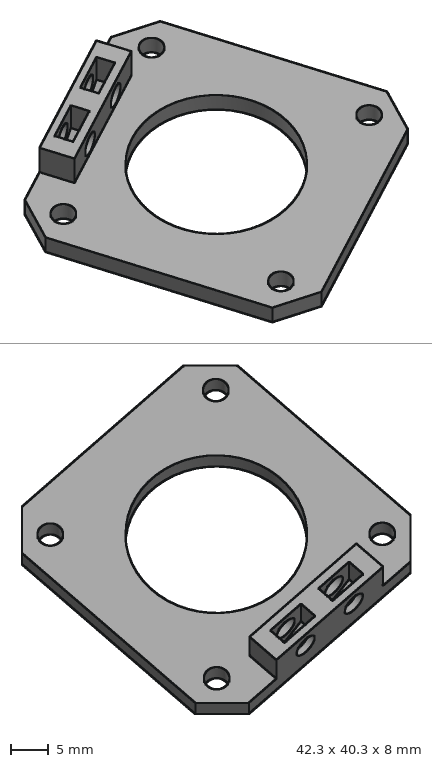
import cadquery as cq
import math

plate_length = 42.3
plate_width = 40.3
plate_thickness = 3.0
corner_chamfer = 5.0
bore_diameter = 24.0
screw_diameter = 3.4
mount_spacing = 31.0

block_depth = 5.0
block_width = 20.0
total_height = 8.0
clamp_spacing = 9.0
clamp_height = 5.0

nut_flats = 5.7
nut_thickness = 2.62
pocket_wall = 1.1

left_face = -plate_length / 2
clamp_positions = (-clamp_spacing / 2, clamp_spacing / 2)


def make_plate():
    """Chamfered plate with a central bore and four mounting holes."""
    plate = (
        cq.Workplane("XY")
        .box(plate_length, plate_width, plate_thickness, centered=(True, True, False))
        .edges("|Z")
        .chamfer(corner_chamfer)
    )
    plate = plate.faces(">Z").workplane().hole(bore_diameter)
    return (
        plate.faces(">Z")
        .workplane()
        .rect(mount_spacing, mount_spacing, forConstruction=True)
        .vertices()
        .hole(screw_diameter)
    )


def make_block():
    """Block standing on the plate's -X edge."""
    return (
        cq.Workplane("XY")
        .box(block_depth, block_width, total_height, centered=(False, True, False))
        .translate((left_face, 0, 0))
    )


def make_clamp_hole(y):
    """Screw hole running along X through the block."""
    return (
        cq.Workplane("YZ", origin=(left_face, y, clamp_height))
        .circle(screw_diameter / 2)
        .extrude(block_depth)
    )


def make_nut_pocket(y):
    """Slot ending in the lower half of a hexagon with one corner pointing down."""
    corner_radius = nut_flats / math.sqrt(3)
    half_width = nut_flats / 2
    top = total_height - clamp_height
    return (
        cq.Workplane("YZ", origin=(left_face + pocket_wall, y, clamp_height))
        .moveTo(-half_width, top)
        .lineTo(-half_width, -corner_radius / 2)
        .lineTo(0, -corner_radius)
        .lineTo(half_width, -corner_radius / 2)
        .lineTo(half_width, top)
        .close()
        .extrude(nut_thickness)
    )


result = make_plate().union(make_block())
for clamp_y in clamp_positions:
    result = result.cut(make_clamp_hole(clamp_y)).cut(make_nut_pocket(clamp_y))